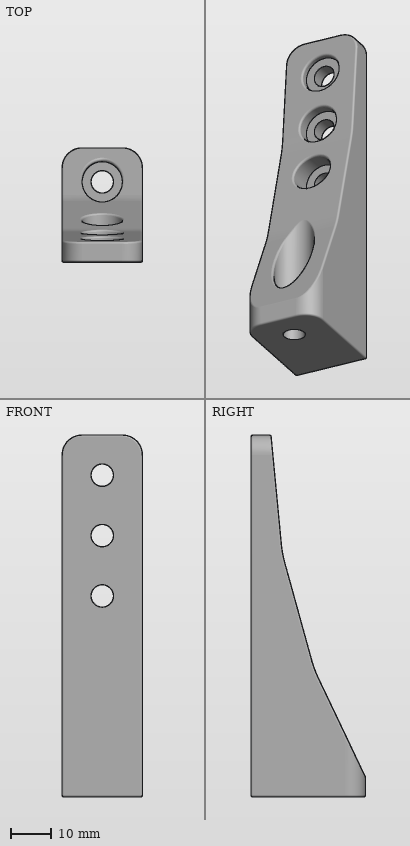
import cadquery as cq

width = 20.0
depth = 28.46
height = 90.0

foot_height = 5.0
lower_bend = (15.75, 31.7)
upper_bend = (7.8, 60.5)
tip_thickness = 5.0
bend_radius = 25.0

corner_radius = 5.0
edge_radius = 0.5

hole_diameter = 5.5
counterbore_diameter = 10.0
rim_radius = 0.5
counterbore_floor = 4.0
cross_hole_heights = (50.0, 65.0, 80.0)
base_hole_y = 20.0

rim_clearance = 0.2
rim_reach = counterbore_diameter / 2 + rim_clearance


def build_body():
    """Extrude the back profile, ease its bends and round the foot and tip corners."""
    body = (
        cq.Workplane("YZ")
        .moveTo(0, 0)
        .lineTo(depth, 0)
        .lineTo(depth, foot_height)
        .lineTo(*lower_bend)
        .lineTo(*upper_bend)
        .lineTo(tip_thickness, height)
        .lineTo(0, height)
        .close()
        .extrude(width / 2, both=True)
    )
    for bend in (lower_bend, upper_bend):
        bend_edge = cq.selectors.NearestToPointSelector((0, *bend))
        body = body.edges(bend_edge).fillet(bend_radius)
    body = body.faces(">Y").edges("|Z").fillet(corner_radius)
    return body.faces(">Z").edges("<X or >X").fillet(corner_radius)


def round_outline(body):
    """Round the edges of the front face, the base and the outline of the back."""
    body = body.faces(">Z").edges(">Y").fillet(edge_radius)
    return body.faces("<Y or <Z").edges().fillet(edge_radius)


def cut_hole(body, floor):
    """Drill a hole through the body and sink its counterbore outwards from the floor plane."""
    bore = floor.circle(hole_diameter / 2).extrude(height, both=True)
    counterbore = floor.circle(counterbore_diameter / 2).extrude(height)
    return body.cut(bore).cut(counterbore)


def round_rim(body, low_corner, high_corner):
    """Round the counterbore rim, whose edges lie wholly inside the given box."""
    rim = cq.selectors.BoxSelector(low_corner, high_corner, boundingbox=True)
    return body.edges(rim).fillet(rim_radius)


def add_cross_hole(body, z):
    """Add one hole along Y, counterbored from the back."""
    floor = cq.Workplane("XZ", origin=(0, counterbore_floor, z)).transformed(rotate=(180, 0, 0))
    body = cut_hole(body, floor)
    return round_rim(
        body,
        (-rim_reach, counterbore_floor + rim_clearance, z - rim_reach),
        (rim_reach, depth, z + rim_reach),
    )


def add_base_hole(body):
    """Add the hole along Z, counterbored down through the lower slope."""
    floor = cq.Workplane("XY", origin=(0, base_hole_y, counterbore_floor))
    body = cut_hole(body, floor)
    return round_rim(
        body,
        (-rim_reach, base_hole_y - rim_reach, counterbore_floor + rim_clearance),
        (rim_reach, base_hole_y + rim_reach, height),
    )


result = round_outline(build_body())
for hole_height in cross_hole_heights:
    result = add_cross_hole(result, hole_height)
result = add_base_hole(result)